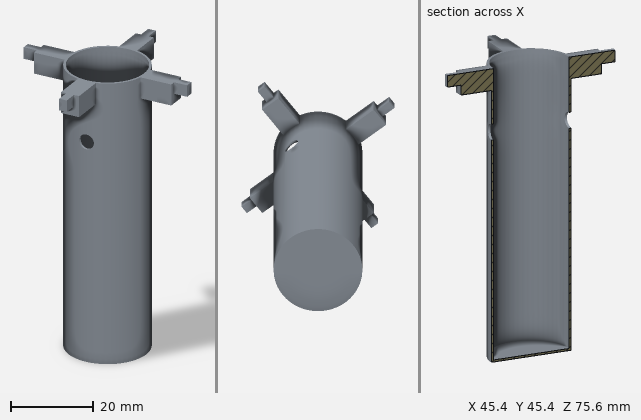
import cadquery as cq

height = 75.55
outer_diameter = 21.6
bore_diameter = 20.3
floor_thickness = (outer_diameter - bore_diameter) / 2

cross_hole_diameter = 4.0
cross_hole_drop = 16.3

arm_count = 4
arm_reach = 19.05
arm_width = 5.0
arm_height = 5.7
tip_reach = 22.7
tip_width = 2.1
tip_height = 3.1


def radial_bar(reach, width, depth):
    """Bar from the tube axis out along +X, with its top level with the rim."""
    return (
        cq.Workplane("XY", origin=(0, 0, height - depth))
        .rect(reach, width)
        .extrude(depth)
        .translate((reach / 2, 0, 0))
    )


def stepped_arm():
    """Broad arm with a slimmer, shallower tip at its outer end."""
    arm = radial_bar(arm_reach, arm_width, arm_height)
    return arm.union(radial_bar(tip_reach, tip_width, tip_height))


body = cq.Workplane("XY").circle(outer_diameter / 2).extrude(height)

for index in range(arm_count):
    angle = index * 360 / arm_count
    body = body.union(stepped_arm().rotate((0, 0, 0), (0, 0, 1), angle))

bore = (
    cq.Workplane("XY", origin=(0, 0, floor_thickness))
    .circle(bore_diameter / 2)
    .extrude(height - floor_thickness)
)

cross_hole = (
    cq.Workplane("XZ", origin=(0, 0, height - cross_hole_drop))
    .circle(cross_hole_diameter / 2)
    .extrude(outer_diameter / 2, both=True)
)

result = body.cut(bore).cut(cross_hole)